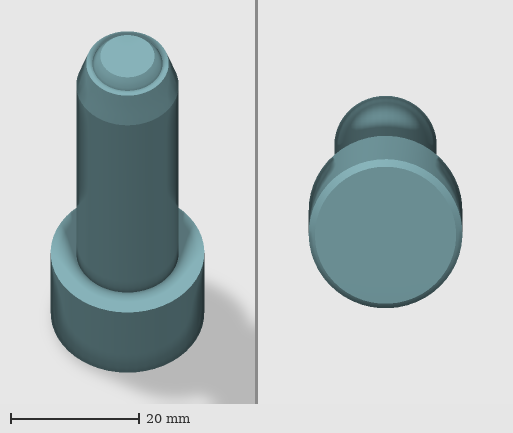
import cadquery as cq
import math

total_height = 65.0
head_diameter = 24.0
head_height = 16.0
head_chamfer = 1.0
shank_diameter = 16.0

taper_height = 5.45
taper_end_diameter = 12.9

tip_height = 1.8
tip_end_diameter = 8.45
tip_sphere_radius = 6.0

taper_end_z = total_height - tip_height
taper_start_z = taper_end_z - taper_height

tip_end_radius = tip_end_diameter / 2
sphere_center_z = total_height - math.sqrt(tip_sphere_radius**2 - tip_end_radius**2)


def tip_radius(z):
    """Radius of the spherical tip at height z."""
    return math.sqrt(tip_sphere_radius**2 - (z - sphere_center_z) ** 2)


head = cq.Workplane("XY").circle(head_diameter / 2).extrude(head_height)
head = head.faces("<Z").edges().chamfer(head_chamfer)

tip_middle_z = taper_end_z + tip_height / 2
stem = (
    cq.Workplane("XZ")
    .moveTo(0, head_height)
    .lineTo(shank_diameter / 2, head_height)
    .lineTo(shank_diameter / 2, taper_start_z)
    .lineTo(taper_end_diameter / 2, taper_end_z)
    .lineTo(tip_radius(taper_end_z), taper_end_z)
    .threePointArc((tip_radius(tip_middle_z), tip_middle_z), (tip_end_radius, total_height))
    .lineTo(0, total_height)
    .close()
    .revolve(360, (0, 0), (0, 1))
)

result = head.union(stem)